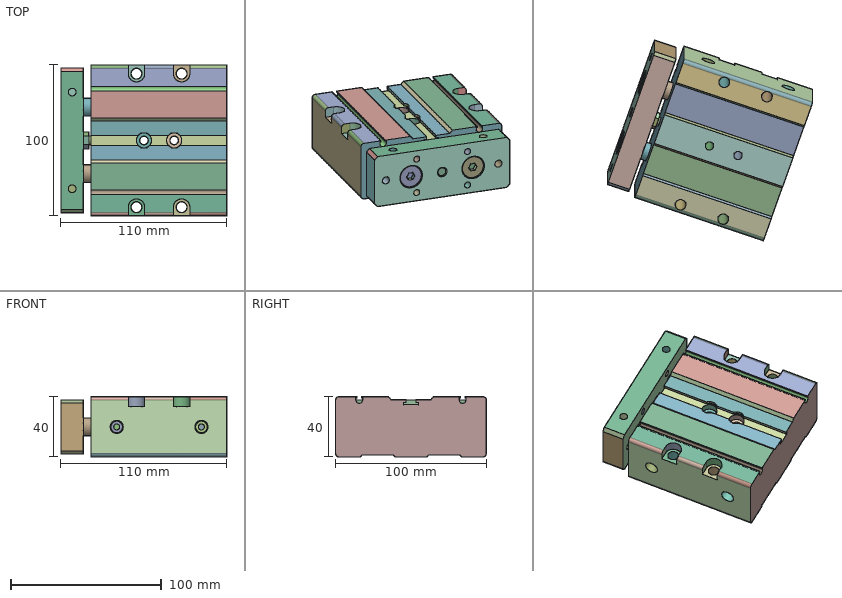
import cadquery as cq


TOTAL_LENGTH = 110.0
HOUSING_WIDTH = 100.0
HOUSING_HEIGHT = 40.0
PLATE_THICKNESS = 15.0
ROD_GAP = 5.0
HOUSING_START = PLATE_THICKNESS + ROD_GAP
HOUSING_LENGTH = TOTAL_LENGTH - HOUSING_START
HOUSING_TOP = HOUSING_HEIGHT / 2
HOUSING_BOTTOM = -HOUSING_HEIGHT / 2
HOUSING_TOP_EDGE_RADIUS = 2.2
HOUSING_BOTTOM_EDGE_RADIUS = 2.5
CUT_MARGIN = 1.1

TROUGH_FLOOR_WIDTH = 26.0
TROUGH_DEPTH = 2.0
TROUGH_FLOOR = HOUSING_TOP - TROUGH_DEPTH
T_SLOT_MOUTH_WIDTH = 6.6
T_SLOT_WIDE_WIDTH = 10.1
T_SLOT_LIP = 1.9
T_SLOT_DEPTH = 3.2

SENSOR_GROOVE_Y = 34.2
SENSOR_MOUTH_WIDTH = 3.1
SENSOR_BODY_WIDTH = 4.4
SENSOR_LIP = 0.8
SENSOR_DEPTH = 4.4

BOTTOM_RECESS_DEPTH = 1.3
BOTTOM_RECESS_FLOOR_WIDTH = 20.7

SIDE_HOLE_XS = (50.0, 80.0)
SIDE_HOLE_Y = 44.2
SIDE_HOLE_DIAMETER = 7.0
SIDE_POCKET_WIDTH = 10.9
SIDE_POCKET_DEPTH = 6.6
CENTER_HOLE_XS = (55.0, 75.0)
CENTER_HOLE_DIAMETER = 5.5
CENTER_BORE_DIAMETER = 10.0
CENTER_BORE_DEPTH = 10.0

PORT_XS = (37.0, 93.1)
PORT_MOUTH_DIAMETER = 8.7
PORT_INNER_DIAMETER = 7.7
PORT_TAPER_DEPTH = 8.0
PORT_PASSAGE_DIAMETER = 4.0
PORT_PASSAGE_END = 15.0

PLATE_WIDTH = 96.0
PLATE_HEIGHT = 36.0
PLATE_CHAMFER = 2.2
SMALL_HOLE_Y = 18.0
SMALL_HOLE_Z = 12.0
SMALL_HOLE_DIAMETER = 4.2
OUTER_HOLE_Y = 39.9
OUTER_HOLE_DIAMETER = 5.0
TOP_HOLE_Y = 32.0
TOP_HOLE_DIAMETER = 5.1
TOP_HOLE_DEPTH = 10.0

GUIDE_ROD_Y = 22.0
GUIDE_ROD_DIAMETER = 12.0
PISTON_ROD_DIAMETER = 6.0
NUT_ACROSS_CORNERS = 11.4
NUT_THICKNESS = 3.6
SEAT_DEPTH = 0.5
SCREW_SEAT_DIAMETER = 16.0
SCREW_HEAD_DIAMETER = 14.8
ROD_SEAT_DIAMETER = 6.7
ROD_END_DIAMETER = 5.5
SOCKET_ACROSS_CORNERS = 5.7
SOCKET_DEPTH = 3.0


def extrude_along_housing(profile):
    """Extrude a Y-Z profile over the housing length and past both ends."""
    return profile.extrude(HOUSING_LENGTH + 2 * CUT_MARGIN)


def housing_section():
    return cq.Workplane("YZ", origin=(HOUSING_START - CUT_MARGIN, 0, 0))


def plate_face():
    """Y-Z plane on the outer face of the end plate."""
    return cq.Workplane("YZ")


def flared_channel(center_y, floor_width, mouth_z, floor_z):
    """Channel along X whose two sides open out at 45 degrees from floor to mouth."""
    floor_half = floor_width / 2
    mouth_half = floor_half + abs(mouth_z - floor_z)
    profile = housing_section().polyline([
        (center_y - floor_half, floor_z),
        (center_y + floor_half, floor_z),
        (center_y + mouth_half, mouth_z),
        (center_y - mouth_half, mouth_z),
    ]).close()
    return extrude_along_housing(profile)


def t_slot():
    mouth = housing_section().center(0, TROUGH_FLOOR - T_SLOT_DEPTH / 2)
    mouth = extrude_along_housing(mouth.rect(T_SLOT_MOUTH_WIDTH, T_SLOT_DEPTH))
    wide_height = T_SLOT_DEPTH - T_SLOT_LIP
    wide = housing_section().center(0, TROUGH_FLOOR - T_SLOT_DEPTH + wide_height / 2)
    wide = extrude_along_housing(wide.rect(T_SLOT_WIDE_WIDTH, wide_height))
    return mouth.union(wide)


def sensor_groove(center_y):
    mouth_half = SENSOR_MOUTH_WIDTH / 2
    body_half = SENSOR_BODY_WIDTH / 2
    lip_z = HOUSING_TOP - SENSOR_LIP
    bottom_z = HOUSING_TOP - SENSOR_DEPTH
    arc_z = bottom_z + body_half
    profile = (
        housing_section()
        .moveTo(center_y - mouth_half, HOUSING_TOP)
        .lineTo(center_y - mouth_half, lip_z)
        .lineTo(center_y - body_half, lip_z)
        .lineTo(center_y - body_half, arc_z)
        .threePointArc((center_y, bottom_z), (center_y + body_half, arc_z))
        .lineTo(center_y + body_half, lip_z)
        .lineTo(center_y + mouth_half, lip_z)
        .lineTo(center_y + mouth_half, HOUSING_TOP)
        .close()
    )
    return extrude_along_housing(profile)


def vertical_hole(x, y, diameter, depth):
    """Round hole going down from the housing top."""
    return (
        cq.Workplane("XY", origin=(x, y, HOUSING_TOP - depth))
        .circle(diameter / 2)
        .extrude(depth)
    )


def side_mounting_hole(x, side):
    """Through hole in a round-ended pocket that is open to the +Y or -Y side."""
    y = side * SIDE_HOLE_Y
    edge_y = side * HOUSING_WIDTH / 2
    round_end = vertical_hole(x, y, SIDE_POCKET_WIDTH, SIDE_POCKET_DEPTH)
    opening = cq.Workplane("XY").box(
        SIDE_POCKET_WIDTH, abs(edge_y - y), SIDE_POCKET_DEPTH
    ).translate((x, (y + edge_y) / 2, HOUSING_TOP - SIDE_POCKET_DEPTH / 2))
    hole = vertical_hole(x, y, SIDE_HOLE_DIAMETER, HOUSING_HEIGHT)
    return round_end.union(opening).union(hole)


def center_mounting_hole(x):
    hole = vertical_hole(x, 0, CENTER_HOLE_DIAMETER, HOUSING_HEIGHT)
    return hole.union(vertical_hole(x, 0, CENTER_BORE_DIAMETER, CENTER_BORE_DEPTH))


def air_port(x):
    """Port revolved about its own axis, which runs along Y."""
    face_y = -HOUSING_WIDTH / 2
    taper_end = face_y + PORT_TAPER_DEPTH
    passage_end = face_y + PORT_PASSAGE_END
    return (
        cq.Workplane("XY", origin=(x, 0, 0))
        .polyline([
            (0, face_y),
            (PORT_MOUTH_DIAMETER / 2, face_y),
            (PORT_INNER_DIAMETER / 2, taper_end),
            (PORT_PASSAGE_DIAMETER / 2, taper_end),
            (PORT_PASSAGE_DIAMETER / 2, passage_end),
            (0, passage_end),
        ])
        .close()
        .revolve(360, (0, 0, 0), (0, 1, 0))
    )


def make_housing():
    body = (
        cq.Workplane("YZ", origin=(HOUSING_START, 0, 0))
        .rect(HOUSING_WIDTH, HOUSING_HEIGHT)
        .extrude(HOUSING_LENGTH)
        .edges("|X and >Z")
        .fillet(HOUSING_TOP_EDGE_RADIUS)
        .edges("|X and <Z")
        .fillet(HOUSING_BOTTOM_EDGE_RADIUS)
    )
    body = body.cut(flared_channel(0, TROUGH_FLOOR_WIDTH, HOUSING_TOP, TROUGH_FLOOR))
    body = body.cut(t_slot())
    for side in (-1, 1):
        body = body.cut(sensor_groove(side * SENSOR_GROOVE_Y))
        body = body.cut(flared_channel(
            side * GUIDE_ROD_Y,
            BOTTOM_RECESS_FLOOR_WIDTH,
            HOUSING_BOTTOM,
            HOUSING_BOTTOM + BOTTOM_RECESS_DEPTH,
        ))
        for x in SIDE_HOLE_XS:
            body = body.cut(side_mounting_hole(x, side))
    for x in CENTER_HOLE_XS:
        body = body.cut(center_mounting_hole(x))
    for x in PORT_XS:
        body = body.cut(air_port(x))
    return body


def tapered_seat(y, outer_diameter, inner_diameter):
    """Shallow conical recess in the outer face of the plate."""
    return (
        plate_face()
        .center(y, 0)
        .circle(outer_diameter / 2)
        .workplane(offset=SEAT_DEPTH)
        .circle(inner_diameter / 2)
        .loft()
    )


def screw_recess(y):
    """Seat over a flush screw head, with the hex socket in that head."""
    socket = (
        cq.Workplane("YZ", origin=(SEAT_DEPTH, y, 0))
        .polygon(6, SOCKET_ACROSS_CORNERS)
        .extrude(SOCKET_DEPTH)
    )
    return tapered_seat(y, SCREW_SEAT_DIAMETER, SCREW_HEAD_DIAMETER).union(socket)


def rod(y, diameter):
    """Rod from the inner face of the plate to the front face of the housing."""
    return (
        cq.Workplane("YZ", origin=(PLATE_THICKNESS, y, 0))
        .circle(diameter / 2)
        .extrude(ROD_GAP)
    )


def make_plate_with_rods():
    body = (
        plate_face()
        .rect(PLATE_WIDTH, PLATE_HEIGHT)
        .extrude(PLATE_THICKNESS)
        .edges("|X")
        .chamfer(PLATE_CHAMFER)
    )
    nut = (
        cq.Workplane("YZ", origin=(PLATE_THICKNESS, 0, 0))
        .polygon(6, NUT_ACROSS_CORNERS)
        .extrude(NUT_THICKNESS)
    )
    body = body.union(nut).union(rod(0, PISTON_ROD_DIAMETER))
    body = body.cut(tapered_seat(0, ROD_SEAT_DIAMETER, ROD_END_DIAMETER))

    small_holes = (
        plate_face()
        .rect(2 * SMALL_HOLE_Y, 2 * SMALL_HOLE_Z, forConstruction=True)
        .vertices()
        .circle(SMALL_HOLE_DIAMETER / 2)
        .extrude(PLATE_THICKNESS)
    )
    outer_holes = (
        plate_face()
        .pushPoints([(-OUTER_HOLE_Y, 0), (OUTER_HOLE_Y, 0)])
        .circle(OUTER_HOLE_DIAMETER / 2)
        .extrude(PLATE_THICKNESS)
    )
    top_holes = (
        cq.Workplane("XY", origin=(PLATE_THICKNESS / 2, 0, PLATE_HEIGHT / 2))
        .pushPoints([(0, -TOP_HOLE_Y), (0, TOP_HOLE_Y)])
        .circle(TOP_HOLE_DIAMETER / 2)
        .extrude(-TOP_HOLE_DEPTH)
    )
    body = body.cut(small_holes).cut(outer_holes).cut(top_holes)

    for side in (-1, 1):
        body = body.union(rod(side * GUIDE_ROD_Y, GUIDE_ROD_DIAMETER))
        body = body.cut(screw_recess(side * GUIDE_ROD_Y))
    return body


housing = make_housing()
plate_with_rods = make_plate_with_rods()

result = cq.Compound.makeCompound([housing.val(), plate_with_rods.val()])